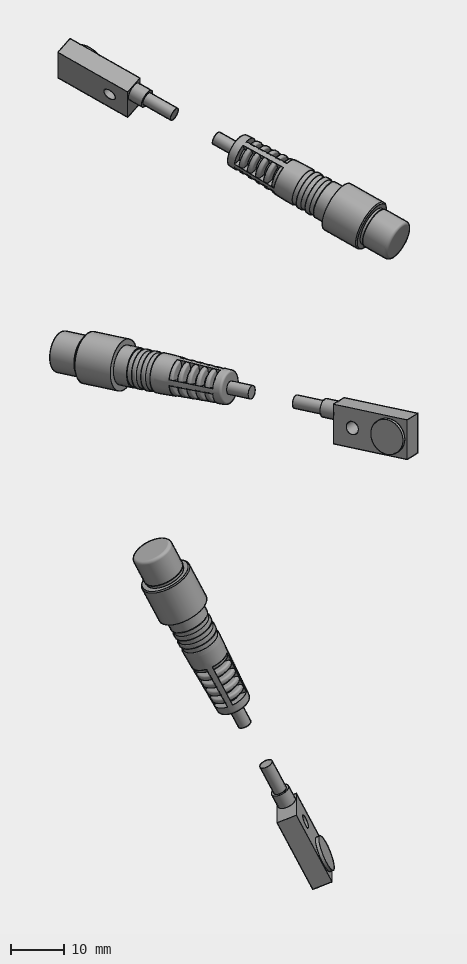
import cadquery as cq
import math


sensor_length = 16.0
sensor_thickness = 4.0
sensor_height = 8.0
sensor_top_z = sensor_thickness / 2
sensor_middle_z = sensor_top_z - sensor_height / 2
mounting_hole_diameter = 2.6
mounting_hole_x = 11.9
sensing_disc_diameter = 7.0
sensing_disc_height = 0.7
sensing_disc_x = sensor_height / 2
ferrule_diameter = 3.6
ferrule_length = 3.0
sensor_cable_end_x = 25.3

cable_diameter = 2.6

plug_cable_start_x = 34.9
grip_start_x = 39.6
taper_end_x = 53.85
collar_start_x = 62.7
collar_end_x = 70.6
tip_start_x = 71.2
plug_end_x = 76.7

grip_radius = 7.7 / 2
taper_angle = 2.1
grip_front_fillet = 0.45
collar_radius = 10 / 2
collar_chamfer = 0.2
neck_radius = 7.7 / 2
tip_radius = 8.0 / 2
tip_fillet = 0.6

slot_count = 5
slot_pitch = 1.9
slot_width = 0.85
first_slot_x = 41.4
slot_floor_radius = 3.6 / 2
slot_edge_fillet = 0.4
bar_count = 4
bar_outer_width = 1.3
bar_root_depth = 0.15
bar_side_angle = 14
rib_recess = 0.1
bar_end_x = 50.7

groove_count = 3
groove_pitch = 2.0
groove_width = 1.0
first_groove_x = 54.85
groove_floor_radius = 7.2 / 2
groove_edge_fillet = 0.15


def cylinder(radius, start_x, end_x):
    """Solid cylinder around the X axis."""
    return cq.Workplane("YZ", origin=(start_x, 0, 0)).circle(radius).extrude(end_x - start_x)


def taper_radius(x):
    """Radius of the tapered grip at a place along its axis."""
    return grip_radius - (taper_end_x - x) * math.tan(math.radians(taper_angle))


def tapered_section(start_x, end_x, recess=0):
    """Slice of the tapered grip between two places, set back from its surface by the recess."""
    return (
        cq.Workplane("XY")
        .moveTo(start_x, 0)
        .lineTo(start_x, taper_radius(start_x) - recess)
        .lineTo(end_x, taper_radius(end_x) - recess)
        .lineTo(end_x, 0)
        .close()
        .revolve(360, (0, 0, 0), (1, 0, 0))
    )


def make_sensor():
    block = cq.Workplane("XY").box(sensor_length, sensor_thickness, sensor_height)
    block = block.translate((sensor_length / 2, 0, sensor_middle_z))
    disc = (
        cq.Workplane("XZ", origin=(sensing_disc_x, sensor_thickness / 2, sensor_middle_z))
        .circle(sensing_disc_diameter / 2)
        .extrude(-sensing_disc_height)
    )
    mounting_hole = (
        cq.Workplane("XZ", origin=(mounting_hole_x, 0, sensor_middle_z))
        .circle(mounting_hole_diameter / 2)
        .extrude(sensor_thickness, both=True)
    )
    ferrule_end_x = sensor_length + ferrule_length
    ferrule = cylinder(ferrule_diameter / 2, sensor_length, ferrule_end_x)
    cable = cylinder(cable_diameter / 2, ferrule_end_x, sensor_cable_end_x)
    return block.union(disc).cut(mounting_hole).union(ferrule).union(cable)


def make_bar():
    """Upper bar: narrower towards the core, flush with the tapered grip outside."""
    root_z = slot_floor_radius - bar_root_depth
    outer_half_width = bar_outer_width / 2
    root_half_width = outer_half_width - (grip_radius - root_z) * math.tan(math.radians(bar_side_angle))
    wedge = (
        cq.Workplane("YZ", origin=(first_slot_x, 0, 0))
        .moveTo(-root_half_width, root_z)
        .lineTo(-outer_half_width, grip_radius)
        .lineTo(outer_half_width, grip_radius)
        .lineTo(root_half_width, root_z)
        .close()
        .extrude(bar_end_x - first_slot_x)
    )
    return wedge.intersect(tapered_section(first_slot_x, bar_end_x))


def make_slotted_grip():
    """Tapered grip whose slots are interrupted by four lengthwise bars."""
    slot_starts = [first_slot_x + i * slot_pitch for i in range(slot_count)]
    core = cylinder(slot_floor_radius, grip_start_x, taper_end_x)
    nose = tapered_section(grip_start_x, first_slot_x).faces("<X").edges().fillet(grip_front_fillet)
    grip = core.union(nose)

    for rib_start, rib_end in zip(slot_starts[:-1], slot_starts[1:]):
        rib = tapered_section(rib_start + slot_width, rib_end, rib_recess)
        grip = grip.union(rib.faces("<X or >X").edges().fillet(slot_edge_fillet))

    last_rib = tapered_section(slot_starts[-1] + slot_width, bar_end_x, rib_recess)
    grip = grip.union(last_rib.faces("<X").edges().fillet(slot_edge_fillet))
    grip = grip.union(tapered_section(bar_end_x, taper_end_x))

    bar = make_bar()
    for i in range(bar_count):
        grip = grip.union(bar.rotate((0, 0, 0), (1, 0, 0), i * 360 / bar_count))
    return grip


def make_grooved_grip():
    """Straight grip: rings with rounded rims, separated by grooves."""
    grip = cylinder(groove_floor_radius, taper_end_x, collar_start_x)
    ring_start_x = taper_end_x
    for i in range(groove_count):
        groove_x = first_groove_x + i * groove_pitch
        ring = cylinder(grip_radius, ring_start_x, groove_x)
        rounded_faces = ">X" if i == 0 else "<X or >X"
        grip = grip.union(ring.faces(rounded_faces).edges().fillet(groove_edge_fillet))
        ring_start_x = groove_x + groove_width
    return grip.union(cylinder(grip_radius, ring_start_x, collar_start_x))


def make_plug():
    cable = cylinder(cable_diameter / 2, plug_cable_start_x, grip_start_x)
    collar = cylinder(collar_radius, collar_start_x, collar_end_x)
    collar = collar.faces(">X").edges().chamfer(collar_chamfer)
    neck = cylinder(neck_radius, collar_end_x, tip_start_x)
    tip = cylinder(tip_radius, tip_start_x, plug_end_x).faces(">X").edges().fillet(tip_fillet)
    plug = cable.union(make_slotted_grip()).union(make_grooved_grip())
    return plug.union(collar).union(neck).union(tip)


sensor = make_sensor()
plug = make_plug()

result = cq.Compound.makeCompound([sensor.val(), plug.val()])